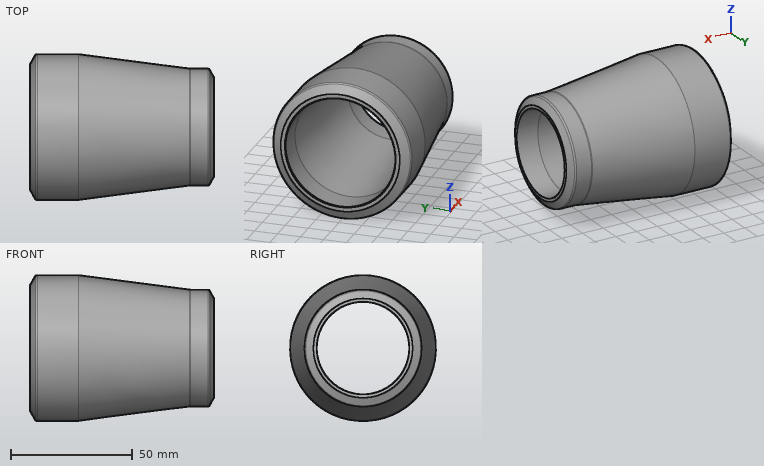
import cadquery as cq
import math

length = 76.0
large_diameter = 60.3
small_diameter = 48.3
large_bore = 47.7
small_bore = 38.1

large_collar = 20.0
bore_collar = 12.0
small_collar = 10.0
large_land = 2.05
small_land = 1.45
bevel_angle = 30.0
bevel_rounding = 0.9
mouth_chamfer = 0.3
neck_rounding = 3.05

large_radius = large_diameter / 2
small_radius = small_diameter / 2
cone_end = length - small_collar


def bevel_length(outer_radius, bore, land):
    """Axial length of the bevel from the end land to the outer cylinder."""
    height = outer_radius - bore / 2 - land
    return height * math.tan(math.radians(bevel_angle))


def revolve_about_x(points):
    """Revolve a closed (x, radius) outline about the X axis."""
    outline = cq.Workplane("XZ").polyline(points).close()
    return outline.revolve(360, (0, 0, 0), (1, 0, 0))


def round_circle(body, x, radius, rounding):
    """Round the outer circular edge at the given position and radius."""
    margin = 0.01
    box = cq.selectors.BoxSelector(
        (x - margin, -radius - margin, -radius - margin),
        (x + margin, radius + margin, radius + margin),
        boundingbox=True,
    )
    return body.edges("%CIRCLE").edges(box).fillet(rounding)


large_bevel_end = bevel_length(large_radius, large_bore, large_land)
small_bevel_start = length - bevel_length(small_radius, small_bore, small_land)

outer = revolve_about_x([
    (0, 0),
    (0, large_bore / 2 + large_land),
    (large_bevel_end, large_radius),
    (large_collar, large_radius),
    (cone_end, small_radius),
    (small_bevel_start, small_radius),
    (length, small_bore / 2 + small_land),
    (length, 0),
])
outer = round_circle(outer, large_bevel_end, large_radius, bevel_rounding)
outer = round_circle(outer, small_bevel_start, small_radius, bevel_rounding)
outer = round_circle(outer, cone_end, small_radius, neck_rounding)

bore = revolve_about_x([
    (0, 0),
    (0, large_bore / 2 + mouth_chamfer),
    (mouth_chamfer, large_bore / 2),
    (bore_collar, large_bore / 2),
    (cone_end, small_bore / 2),
    (length, small_bore / 2),
    (length, 0),
])

result = outer.cut(bore)